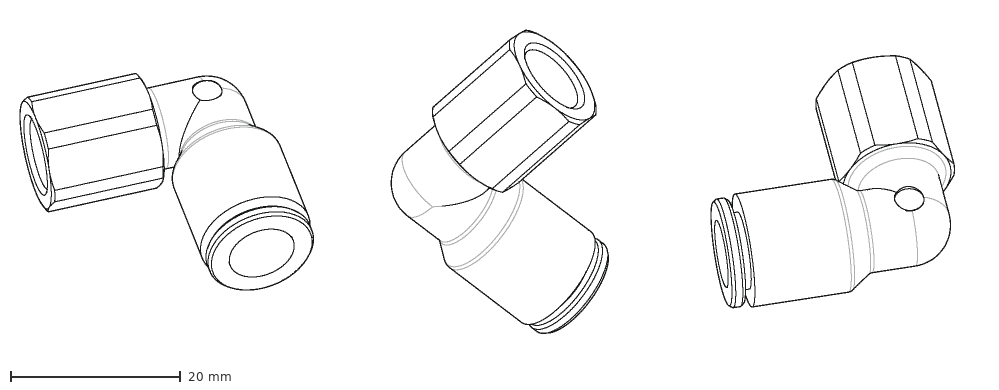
import cadquery as cq
import math


neck_radius = 4.9
passage_radius = 4.0
label_radius = 1.75
label_depth = 0.4

body_radius = 6.75
cone_start = 5.47
cone_angle = 35.0
cone_blend_radius = 0.75
body_end = 19.95
collar_radius = 4.6
ring_start = 20.95
ring_end = 22.6
ring_radius = 6.5
ring_chamfer_radial = 0.3
ring_chamfer_axial = 0.4
cone_end = cone_start + (body_radius - neck_radius) / math.tan(math.radians(cone_angle))

hex_across_flats = 13.0
hex_corner_radius = 7.0
hex_start = 7.2
hex_end = 21.1
hex_chamfer_angle = 30.0
neck_fillet = 1.0
thread_radius = 4.283
mouth_radius = 4.864
mouth_chamfer_angle = 45.0
hex_flat_radius = hex_across_flats / 2
hex_chamfer_length = (hex_corner_radius - hex_flat_radius) * math.tan(math.radians(hex_chamfer_angle))
mouth_depth = (mouth_radius - thread_radius) / math.tan(math.radians(mouth_chamfer_angle))


def revolve_about_x(profile):
    """Turn a closed (axial, radial) profile into a solid around the X axis."""
    return profile.close().revolve(360, (0, 0, 0), (1, 0, 0))


def cylinder_along_x(start, end, radius):
    return cq.Workplane("YZ").workplane(offset=start).circle(radius).extrude(end - start)


def turn_to_thread_side(solid):
    """Swing a solid built along +X round to -Y."""
    return solid.rotate((0, 0, 0), (0, 0, 1), -90)


def make_tube_arm():
    sleeve = revolve_about_x(
        cq.Workplane("XY")
        .lineTo(0, neck_radius)
        .lineTo(cone_start, neck_radius)
        .lineTo(cone_end, body_radius)
        .lineTo(body_end, body_radius)
        .lineTo(body_end, 0)
    )
    for cone_edge in (cone_start, cone_end):
        rim = cq.selectors.NearestToPointSelector((cone_edge, 0, 0))
        sleeve = sleeve.edges("%CIRCLE").edges(rim).fillet(cone_blend_radius)

    collar = cylinder_along_x(body_end, ring_start, collar_radius)
    rim_radius = ring_radius - ring_chamfer_radial
    release_ring = revolve_about_x(
        cq.Workplane("XY")
        .moveTo(ring_start, 0)
        .lineTo(ring_start, rim_radius)
        .lineTo(ring_start + ring_chamfer_axial, ring_radius)
        .lineTo(ring_end - ring_chamfer_axial, ring_radius)
        .lineTo(ring_end, rim_radius)
        .lineTo(ring_end, 0)
    )
    return sleeve.union(collar).union(release_ring)


def make_hexagon():
    """Hexagon with its corners turned down and both ends chamfered."""
    corner_diameter = hex_across_flats / math.cos(math.pi / 6)
    prism = (
        cq.Workplane("YZ")
        .workplane(offset=hex_start)
        .polygon(6, corner_diameter)
        .extrude(hex_end - hex_start)
    )
    turned_envelope = revolve_about_x(
        cq.Workplane("XY")
        .moveTo(hex_start, 0)
        .lineTo(hex_start, hex_flat_radius)
        .lineTo(hex_start + hex_chamfer_length, hex_corner_radius)
        .lineTo(hex_end - hex_chamfer_length, hex_corner_radius)
        .lineTo(hex_end, hex_flat_radius)
        .lineTo(hex_end, 0)
    )
    return prism.intersect(turned_envelope)


def make_thread_arm():
    fillet_start = hex_start - neck_fillet
    foot_radius = neck_radius + neck_fillet
    fillet_middle = neck_fillet * math.sqrt(0.5)
    neck = revolve_about_x(
        cq.Workplane("XY")
        .lineTo(0, neck_radius)
        .lineTo(fillet_start, neck_radius)
        .threePointArc(
            (fillet_start + fillet_middle, foot_radius - fillet_middle),
            (hex_start, foot_radius),
        )
        .lineTo(hex_start, 0)
    )
    return turn_to_thread_side(neck.union(make_hexagon()))


def make_passage():
    """Round-cornered elbow passage, open at both arms."""
    corner = cq.Workplane("XY").sphere(passage_radius)
    tube_bore = cylinder_along_x(0, ring_end, passage_radius)
    thread_side_bore = cylinder_along_x(0, hex_end, passage_radius)
    return corner.union(tube_bore).union(turn_to_thread_side(thread_side_bore))


def make_thread_bore():
    """Plain thread bore through the hexagon, with a chamfered mouth."""
    bore = revolve_about_x(
        cq.Workplane("XY")
        .moveTo(hex_start, 0)
        .lineTo(hex_start, thread_radius)
        .lineTo(hex_end - mouth_depth, thread_radius)
        .lineTo(hex_end, mouth_radius)
        .lineTo(hex_end, 0)
    )
    return turn_to_thread_side(bore)


def make_label_recess():
    """Round flat-bottomed recess on top of the bend."""
    floor_height = neck_radius - label_depth
    return cq.Workplane("XY").workplane(offset=floor_height).circle(label_radius).extrude(2 * label_depth)


bend = cq.Workplane("XY").sphere(neck_radius)
outside = bend.union(make_tube_arm()).union(make_thread_arm())
result = outside.cut(make_passage()).cut(make_thread_bore()).cut(make_label_recess())